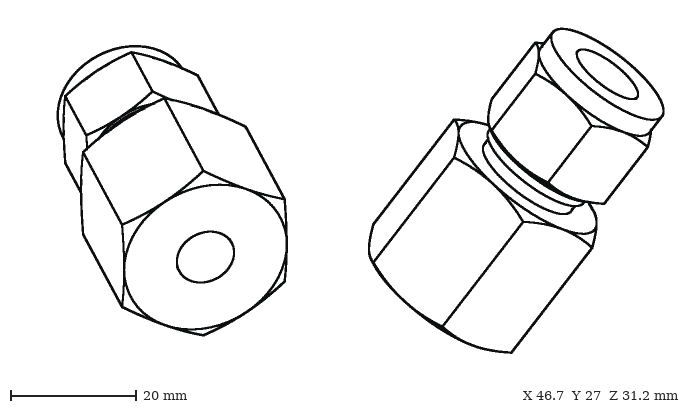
import cadquery as cq
import math

collar_end = 3.4
nut_hex_end = 17.4
nut_lip_end = 17.85
shoulder_end = 19.65
body_hex_start = 22.0
total_length = 46.7

nut_across_flats = 22.0
body_across_flats = 27.0
hex_sides = 6
chamfer_angle = 30.0

collar_diameter = nut_across_flats
nut_lip_diameter = 20.9
shoulder_diameter = 19.0
neck_diameter = 17.5

socket_diameter = 12.0
socket_depth = body_hex_start
passage_diameter = 9.5


def cylinder(start, end, diameter):
    """Round length of the fitting between two X stations."""
    return cq.Workplane("YZ", origin=(start, 0, 0)).circle(diameter / 2).extrude(end - start)


def chamfered_hex(start, end, across_flats):
    """Hexagonal length with a cone at each end, starting from the circle that touches the flats."""
    corner_diameter = across_flats / math.cos(math.pi / hex_sides)
    face_radius = across_flats / 2
    corner_radius = corner_diameter / 2
    chamfer_length = (corner_radius - face_radius) * math.tan(math.radians(chamfer_angle))

    prism = (
        cq.Workplane("YZ", origin=(start, 0, 0))
        .transformed(rotate=(0, 0, 90))
        .polygon(hex_sides, corner_diameter)
        .extrude(end - start)
    )
    turned_envelope = (
        cq.Workplane("XY")
        .moveTo(start, 0)
        .lineTo(start, face_radius)
        .lineTo(start + chamfer_length, corner_radius)
        .lineTo(end - chamfer_length, corner_radius)
        .lineTo(end, face_radius)
        .lineTo(end, 0)
        .close()
        .revolve(360, (0, 0, 0), (1, 0, 0))
    )
    return prism.intersect(turned_envelope)


def make_nut():
    """Nut with a plain collar in front of the hexagon and a thin lip behind it."""
    collar = cylinder(0, collar_end, collar_diameter)
    hexagon = chamfered_hex(collar_end, nut_hex_end, nut_across_flats)
    lip = cylinder(nut_hex_end, nut_lip_end, nut_lip_diameter)
    return collar.union(hexagon).union(lip)


def make_body():
    """Fitting body: shoulder and neck leading to the large hexagon."""
    shoulder = cylinder(nut_lip_end, shoulder_end, shoulder_diameter)
    neck = cylinder(shoulder_end, body_hex_start, neck_diameter)
    hexagon = chamfered_hex(body_hex_start, total_length, body_across_flats)
    return shoulder.union(neck).union(hexagon)


def make_bore():
    """Volume removed along the axis, stepping down at the bottom of the socket."""
    socket = cylinder(0, socket_depth, socket_diameter)
    passage = cylinder(0, total_length, passage_diameter)
    return socket.union(passage)


result = make_nut().union(make_body()).cut(make_bore())